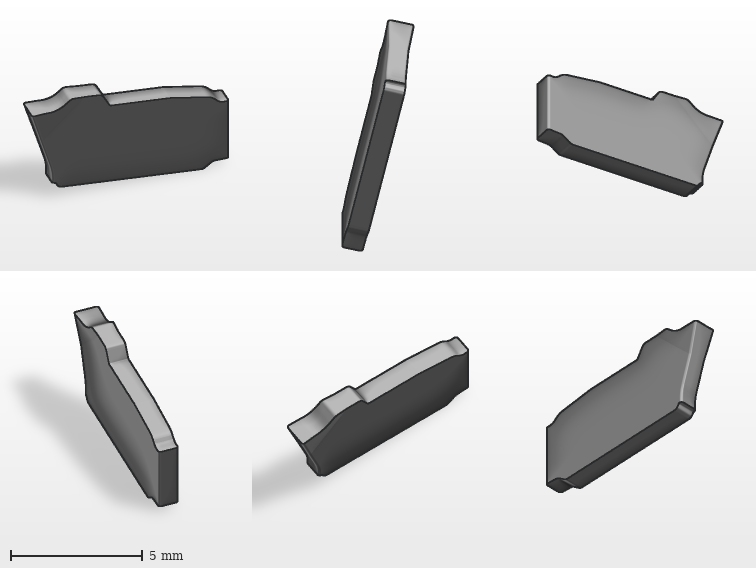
import cadquery as cq
import math

thickness = 0.81
length = 8.0
corner_radius = 0.1

tip_height = 4.02
front_foot_y = 0.86
front_foot_z = 0.73
front_bend_z = 1.23
front_bend_radius = 1.92
blank_margin = 0.8

tang_bottom = 0.27
tang_top = 2.87

crease_low = (0.5, 2.78)
crease_high = (2.2, 4.38)
tip_half_width = 0.51
flare_reach = 2.8
flare_overlap = 0.64
flare_overrun = 3.2

outline = [
    (0, tip_height, 0),
    (0.55, tip_height, 0),
    (1.07, 4.0, 1.0),
    (1.62, 4.42, 0.28),
    (2.86, 4.31, 0.26),
    (3.18, 3.74, 0.08),
    (5.62, 3.54, 0),
    (7.3, 3.2, 0.68),
    (7.66, tang_top, 0.38),
    (length, tang_top, 0),
    (length, tang_bottom, 0),
    (7.36, tang_bottom, 0.32),
    (6.94, -0.01, 0.25),
    (1.11, 0.5, 0.22),
    (0.98, front_foot_z, 0.12),
    (front_foot_y, front_foot_z, 0),
    (front_foot_y, front_bend_z, front_bend_radius),
]


def round_corner(before, corner, after, radius):
    """Return the start, middle and end of the arc that rounds a corner."""
    vertex = cq.Vector(*corner)
    back = (cq.Vector(*before) - vertex).normalized()
    ahead = (cq.Vector(*after) - vertex).normalized()
    half_angle = back.getAngle(ahead) / 2
    setback = radius / math.tan(half_angle)
    middle_distance = radius / math.sin(half_angle) - radius
    middle = vertex + (back + ahead).normalized() * middle_distance
    return [(p.x, p.y) for p in (vertex + back * setback, middle, vertex + ahead * setback)]


def rounded_outline(workplane, corners):
    """Draw a closed outline of straight sides joined by tangent arcs."""
    points = [(y, z) for y, z, _ in corners]
    profile = workplane.moveTo(*points[0])
    for i in range(1, len(corners)):
        radius = corners[i][2]
        if radius == 0:
            profile = profile.lineTo(*points[i])
            continue
        after = points[(i + 1) % len(points)]
        start, middle, end = round_corner(points[i - 1], points[i], after, radius)
        profile = profile.lineTo(*start).threePointArc(middle, end)
    return profile.close()


def flare_prism():
    """Tapered prism along the crease, wider on the tip side."""
    run = crease_high[0] - crease_low[0]
    rise = crease_high[1] - crease_low[1]
    crease_length = math.hypot(run, rise)
    tip_distance = (run * (tip_height - crease_low[1]) + rise * crease_low[0]) / crease_length
    half = thickness / 2
    slope = (tip_half_width - half) / tip_distance
    outer_half = half + slope * flare_reach
    inner_half = half - slope * flare_overlap
    middle = ((crease_low[0] + crease_high[0]) / 2, (crease_low[1] + crease_high[1]) / 2)
    section = cq.Plane(origin=(0, *middle), xDir=(1, 0, 0), normal=(0, -run, -rise))
    taper = [
        (-inner_half, -flare_overlap),
        (inner_half, -flare_overlap),
        (outer_half, flare_reach),
        (-outer_half, flare_reach),
    ]
    return cq.Workplane(section).polyline(taper).close().extrude(flare_overrun, both=True)


blank_top = tip_height + blank_margin
blank_top_y = -front_foot_y * blank_margin / (tip_height - front_bend_z)
blank_outline = [
    (blank_top_y, blank_top, 0),
    (length, blank_top, 0),
    (length, -blank_margin, 0),
    (front_foot_y, -blank_margin, 0),
    (front_foot_y, front_bend_z, front_bend_radius),
]
side_plane = cq.Workplane("YZ")
plate = rounded_outline(side_plane, blank_outline).extrude(thickness / 2, both=True)
plate = plate.faces("<X or >X").edges("not |Y").fillet(corner_radius)

head = rounded_outline(side_plane, blank_outline).extrude(thickness, both=True).intersect(flare_prism())
front_zone = cq.selectors.BoxSelector(
    (-thickness, blank_top_y, front_bend_z), (thickness, front_foot_y, blank_top)
)
head = head.edges(front_zone).edges("not |X").fillet(corner_radius)

outline_prism = rounded_outline(side_plane, outline).extrude(thickness, both=True)
result = plate.union(head).intersect(outline_prism)